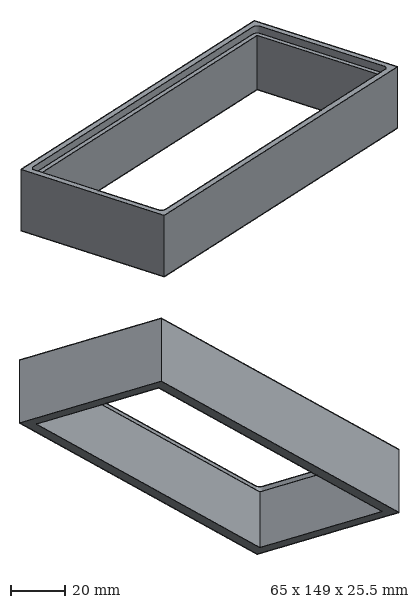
import cadquery as cq

width = 65.0
length = 149
height = 25.5

wall = 4.5
rim = 2.5

recess_depth = 3.0
recess_corner_radius = 2.0


def prism(inset, bottom, top):
    """Rectangular block inset evenly from the outer walls."""
    return (
        cq.Workplane("XY")
        .workplane(offset=bottom)
        .rect(width - 2 * inset, length - 2 * inset)
        .extrude(top - bottom)
    )


body = prism(0, 0, height)
opening = prism(wall, 0, height)
recess = prism(rim, height - recess_depth, height).edges("|Z").fillet(recess_corner_radius)

result = body.cut(opening).cut(recess)